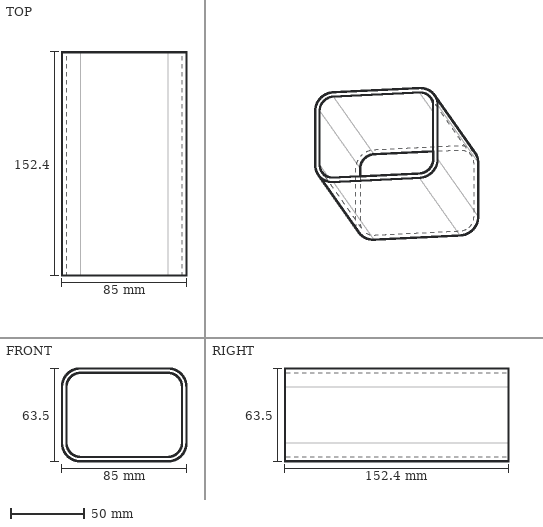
import cadquery as cq

width = 84.96
height = 63.5
length = 152.4
wall = 3.175
outer_radius = 12.7
inner_radius = outer_radius - wall


def rounded_bar(size_x, size_z, corner_radius):
    """Solid bar centred on the origin, with its four long edges rounded."""
    return cq.Workplane("XY").box(size_x, length, size_z).edges("|Y").fillet(corner_radius)


outer_bar = rounded_bar(width, height, outer_radius)
bore = rounded_bar(width - 2 * wall, height - 2 * wall, inner_radius)

result = outer_bar.cut(bore)